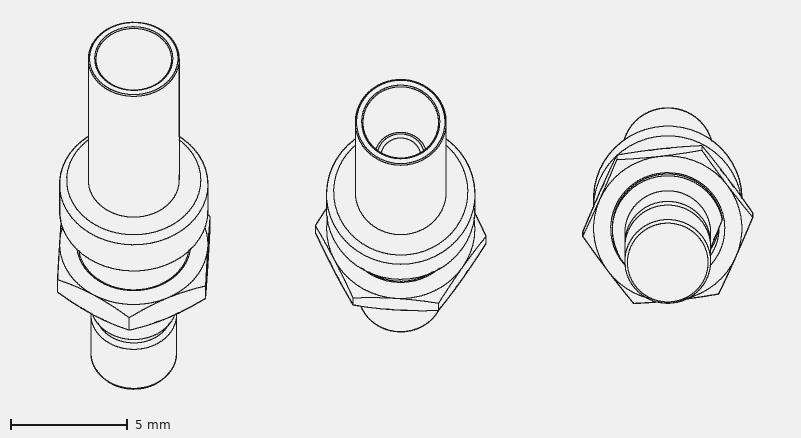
import cadquery as cq
import math

total_length = 22.0

plug_diameter = 3.67
plug_radius = plug_diameter / 2
tip_chamfer_width = 0.1
tip_chamfer_height = 0.22

groove_bottom = 3.1
groove_top = 3.83
groove_depth = 0.2

neck_radius = 2.38
shoulder_bottom = 5.95
shoulder_top = shoulder_bottom + neck_radius - plug_radius

flat_offset = 1.95
flat_top = 10.71

collar_diameter = 6.35
collar_radius = collar_diameter / 2
collar_bottom = 10.78
collar_top = 13.02
collar_chamfer = 0.3

nut_across_corners = 7.33
hexagon_half_angle = math.pi / 6
nut_across_flats = nut_across_corners * math.cos(hexagon_half_angle)
nut_bottom = 6.8
nut_height = 1.5
nut_chamfer_angle = 30
nut_bore_radius = 2.2
nut_mouth_radius = 2.45

tube_diameter = 3.9
tube_radius = tube_diameter / 2
tube_edge_break = 0.055
bore_diameter = 3.23
bore_radius = bore_diameter / 2
bore_floor = collar_bottom

ferrule_radius = 1.12
ferrule_top = 17.6
ferrule_outer_chamfer = 0.1
ferrule_bore_radius = 0.85
ferrule_rim_radius = ferrule_radius - ferrule_outer_chamfer
ferrule_mouth_depth = 0.09


def revolve_profile(points):
    """Turn a closed outline of (radius, height) points around the Z axis."""
    return cq.Workplane("XZ").polyline(points).close().revolve(360, (0, 0, 0), (0, 1, 0))


def make_body():
    """Revolve the outer profile from the plug tip up to the tube end."""
    groove_radius = plug_radius - groove_depth
    profile = [
        (0, 0),
        (plug_radius - tip_chamfer_width, 0),
        (plug_radius, tip_chamfer_height),
        (plug_radius, groove_bottom),
        (groove_radius, groove_bottom + groove_depth),
        (groove_radius, groove_top - groove_depth),
        (plug_radius, groove_top),
        (plug_radius, shoulder_bottom),
        (neck_radius, shoulder_top),
        (neck_radius, collar_bottom),
        (collar_radius, collar_bottom),
        (collar_radius, collar_top - collar_chamfer),
        (collar_radius - collar_chamfer, collar_top),
        (tube_radius, collar_top),
        (tube_radius, total_length - tube_edge_break),
        (tube_radius - tube_edge_break, total_length),
        (0, total_length),
    ]
    return revolve_profile(profile)


def make_flat_cutter():
    """Block that cuts the neck back to the keying flat."""
    depth = neck_radius - flat_offset
    return (
        cq.Workplane("XY", origin=(-neck_radius, 0, shoulder_bottom))
        .rect(2 * depth, 2 * neck_radius)
        .extrude(flat_top - shoulder_bottom)
    )


def make_nut():
    """Hexagon with corners on Y, chamfered faces, and a bore chamfered at both mouths."""
    corner_radius = nut_across_corners / 2
    face_radius = nut_across_flats / 2
    chamfer_slope = math.tan(math.radians(nut_chamfer_angle))
    corner_drop = (corner_radius - face_radius) * chamfer_slope
    mouth_depth = (nut_mouth_radius - nut_bore_radius) * chamfer_slope
    hexagon = (
        cq.Workplane("XY", origin=(0, 0, nut_bottom))
        .transformed(rotate=(0, 0, 90))
        .polygon(6, nut_across_corners)
        .extrude(nut_height)
    )
    nut_top = nut_bottom + nut_height
    ring_profile = [
        (nut_mouth_radius, nut_bottom),
        (face_radius, nut_bottom),
        (corner_radius, nut_bottom + corner_drop),
        (corner_radius, nut_top - corner_drop),
        (face_radius, nut_top),
        (nut_mouth_radius, nut_top),
        (nut_bore_radius, nut_top - mouth_depth),
        (nut_bore_radius, nut_bottom + mouth_depth),
    ]
    return hexagon.intersect(revolve_profile(ring_profile))


def make_bore():
    """Tube bore, leaving the hollow ferrule standing on its floor."""
    profile = [
        (0, bore_floor),
        (ferrule_bore_radius, bore_floor),
        (ferrule_bore_radius, ferrule_top - ferrule_mouth_depth),
        (ferrule_rim_radius, ferrule_top),
        (ferrule_radius, ferrule_top - ferrule_outer_chamfer),
        (ferrule_radius, bore_floor),
        (bore_radius, bore_floor),
        (bore_radius, total_length - tube_edge_break),
        (bore_radius + tube_edge_break, total_length),
        (0, total_length),
    ]
    return revolve_profile(profile)


result = make_body().cut(make_flat_cutter()).union(make_nut()).cut(make_bore())